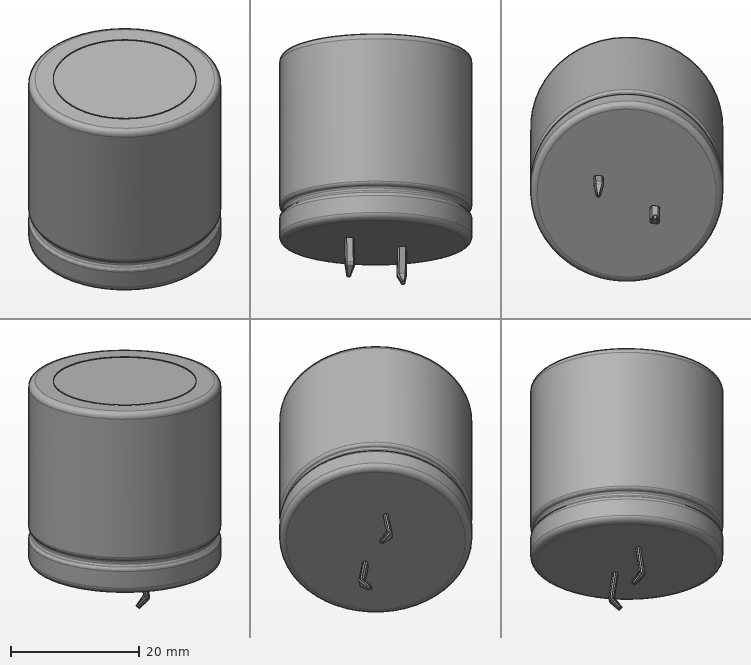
import cadquery as cq
import math

can_diameter = 30.0
can_height = 30.0
total_height = 36.15
top_rim_radius = 1.0
bottom_rim_radius = 1.0

recess_diameter = 22.3
recess_depth = 0.1

groove_height = 4.9
neck_diameter = 28.75
neck_width = 0.75
mouth_width = 1.5
mouth_radius = 0.7
neck_corner_radius = 0.35
edge_search_margin = 0.018

terminal_offset = 5.02
terminal_turn = 25.0
strip_width = 1.48
strip_thickness = 0.8
strip_chamfer = 0.25
tip_width = 0.55
tip_thickness = 0.65
tip_chamfer = 0.18
terminal_length = total_height - can_height
root_depth = 0.72
root_y = 0.0
lean_angle = 8.0
kick_angle = 40.0
bend_start_depth = 4.1
bend_radius = 0.47

can_radius = can_diameter / 2


def make_can():
    """Cylinder with both rims rounded."""
    can = cq.Workplane("XY").circle(can_radius).extrude(can_height)
    can = can.faces(">Z").edges().fillet(top_rim_radius)
    return can.faces("<Z").edges().fillet(bottom_rim_radius)


def cut_recess(can):
    return can.faces(">Z").workplane().circle(recess_diameter / 2).cutBlind(-recess_depth)


def ring_edges(width):
    """Selector for the circular edges inside a band of the given width centred on the groove."""
    half_band = width / 2 + edge_search_margin
    return cq.selectors.BoxSelector(
        (-can_diameter, -can_diameter, groove_height - half_band),
        (can_diameter, can_diameter, groove_height + half_band),
    )


def cut_groove(can):
    """Trapezoidal groove with rounded mouth edges and rounded neck corners."""
    neck_radius = neck_diameter / 2
    section = [
        (can_radius, groove_height - mouth_width / 2),
        (neck_radius, groove_height - neck_width / 2),
        (neck_radius, groove_height + neck_width / 2),
        (can_radius, groove_height + mouth_width / 2),
    ]
    ring = cq.Workplane("XZ").polyline(section).close().revolve(360, (0, 0), (0, 1))
    can = can.cut(ring)
    can = can.edges(ring_edges(mouth_width)).edges(cq.selectors.RadiusNthSelector(-1)).fillet(mouth_radius)
    return can.edges(ring_edges(neck_width)).fillet(neck_corner_radius)


def strip_direction(angle):
    """Downward unit vector in the YZ plane, swung towards +Y by the angle in radians."""
    return cq.Vector(0, math.sin(angle), -math.cos(angle))


def strip_normal(angle):
    """Unit vector square to strip_direction(angle), on the inner side of the bend."""
    return cq.Vector(0, math.cos(angle), math.sin(angle))


def strip_plane(origin, angle):
    return cq.Plane(origin=origin, xDir=(1, 0, 0), normal=strip_direction(angle))


def chamfered_rectangle(width, thickness, chamfer):
    """Corner points of a centred rectangle with its four corners cut at 45 degrees."""
    half_x = width / 2
    half_y = thickness / 2
    quarter = [(half_x, half_y - chamfer), (half_x - chamfer, half_y)]
    upper = quarter + [(-x, y) for x, y in reversed(quarter)]
    return upper + [(-x, -y) for x, y in upper]


def make_terminal():
    """Strip leaning to -Y down to its bend, then kicking back to +Y in a tapered tip; on the -X side."""
    lean = math.radians(-lean_angle)
    kick = math.radians(kick_angle)

    root = cq.Vector(0, root_y, root_depth)
    leg_length = (root_depth + bend_start_depth) / math.cos(lean)
    bend_start = root + strip_direction(lean) * leg_length
    bend_center = bend_start + strip_normal(lean) * bend_radius
    bend_middle = bend_center - strip_normal((lean + kick) / 2) * bend_radius
    bend_end = bend_center - strip_normal(kick) * bend_radius
    leg_edge = cq.Edge.makeLine(root, bend_start)
    bend_edge = cq.Edge.makeThreePointArc(bend_start, bend_middle, bend_end)
    center_line = cq.Wire.assembleEdges([leg_edge, bend_edge])

    section = chamfered_rectangle(strip_width, strip_thickness, strip_chamfer)
    strip = cq.Workplane(strip_plane(root, lean)).polyline(section).close().sweep(center_line)

    corner_drop = tip_thickness / 2 * math.sin(kick)
    tip_length = (bend_end.z + terminal_length - corner_drop) / math.cos(kick)
    tip_section = chamfered_rectangle(tip_width, tip_thickness, tip_chamfer)
    tip = cq.Workplane(strip_plane(bend_end, kick)).polyline(section).close()
    tip = tip.workplane(offset=tip_length).polyline(tip_section).close().loft(ruled=True)

    terminal = strip.union(tip)
    return terminal.rotate((0, 0, 0), (0, 0, 1), -terminal_turn).translate((-terminal_offset, 0, 0))


result = cut_groove(cut_recess(make_can()))
terminal = make_terminal()
for angle in (0, 180):
    result = result.union(terminal.rotate((0, 0, 0), (0, 0, 1), angle))